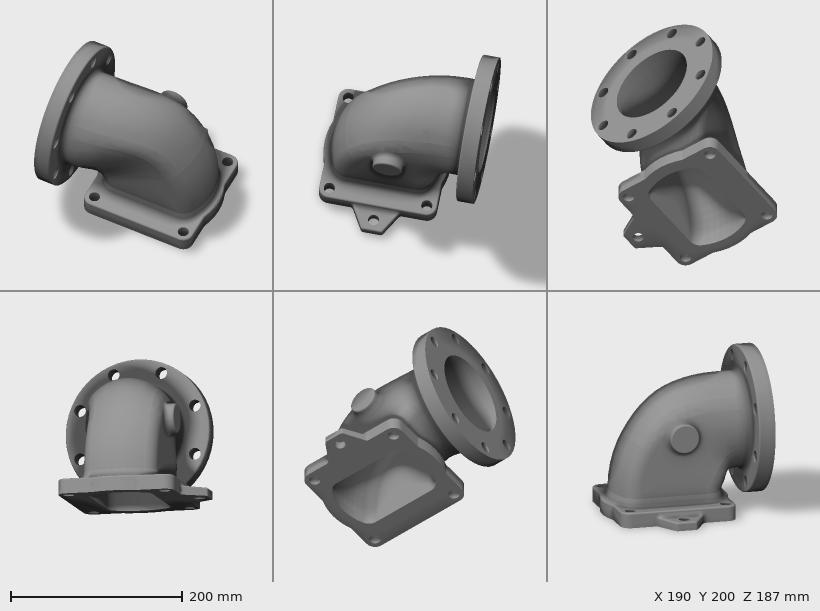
import cadquery as cq
import math

FLANGE_DIAMETER = 174.0
FLANGE_THICKNESS = 19.8
AXIS_HEIGHT = 100.0
BOLT_CIRCLE_DIAMETER = 150.0
FLANGE_HOLE_DIAMETER = 14.0
FLANGE_HOLE_COUNT = 8
HUB_END = 32.0
HUB_RADIUS = 57.0
BORE_RADIUS = 50.0
FILLET_RADIUS = 5.0
EDGE_RADIUS = 2.0

BASE_X = 115.0
BASE_Y = 15.0
BASE_SIDE = 140.0
BASE_THICKNESS = 18.0
BASE_CORNER_RADIUS = 12.0
BULGE_RADIUS = 75.0
BULGE_BLEND_RADIUS = 4.0
BASE_HOLE_PITCH = BASE_SIDE - 2 * BASE_CORNER_RADIUS
BASE_HOLE_DIAMETER = 13.0

EAR_LENGTH = 28.0
EAR_TIP_WIDTH = 24.5
EAR_SIDE_ANGLE = 60.0
EAR_CORNER_RADIUS = 3.0
EAR_TIP_THICKNESS = 10.0
EAR_TOP_SLOPE = 2.0
EAR_HOLE_INSET = 13.0

OUTLET_Y = 16.0
OUTLET_HEIGHT = 28.0
OUTER_OUTLET = dict(half_length=66.2, half_width=44.0, end_radius=73.0, corner_radius=18.0)
INNER_OUTLET = dict(half_length=60.2, half_width=38.0, end_radius=67.0, corner_radius=14.0)
SKIRT_TAPER = 15.0
SKIRT_FILLET_RADIUS = 4.5

PIVOT_X = 48.0
TURN_ANGLE = 30.0
CORNER_START_ANGLE = 25.6
CORNER_END_ANGLE = 41.2
FLOW_STRENGTH = 1.27
FLOW_STEPS = 6
STRAIGHT_TOLERANCE = 4e-06

BOSS_X = 105.0
BOSS_Z = 98.5
BOSS_DIAMETER = 35.0
BOSS_FACE_Y = 70.5

SELECT_REACH = 400.0
SELECT_MARGIN = 0.05


def slab(axis, position):
    """Select edges that lie wholly at one position along an axis."""
    low = dict.fromkeys("XYZ", -SELECT_REACH)
    high = dict.fromkeys("XYZ", SELECT_REACH)
    low[axis] = position - SELECT_MARGIN
    high[axis] = position + SELECT_MARGIN
    return cq.selectors.BoxSelector(tuple(low.values()), tuple(high.values()), boundingbox=True)


def arc_point(center_u, radius, angle):
    """Point (u, v) on a circle centred at (center_u, 0)."""
    return (center_u + radius * math.cos(angle), radius * math.sin(angle))


def mirrored_loop(quarter):
    """Complete a loop from five points that run from the +U tip to the +V tip."""
    second = [(-u, v) for u, v in reversed(quarter[:-1])]
    upper = quarter + second
    lower = [(u, -v) for u, v in reversed(upper[1:-1])]
    return upper + lower


def outlet_points(half_length, half_width, end_radius, corner_radius):
    """Alternate arc middles and arc ends around the outlet section."""
    end_u = half_length - end_radius
    corner_v = half_width - corner_radius
    reach = end_radius - corner_radius
    corner_u = end_u + math.sqrt(reach**2 - corner_v**2)
    end_angle = math.asin(corner_v / reach)
    middle_angle = (end_angle + math.pi / 2) / 2
    corner_middle = (
        corner_u + corner_radius * math.cos(middle_angle),
        corner_v + corner_radius * math.sin(middle_angle),
    )
    return mirrored_loop([
        (half_length, 0),
        arc_point(end_u, end_radius, end_angle),
        corner_middle,
        (corner_u, half_width),
        (0, half_width),
    ])


def inlet_points(radius):
    """Points around the round inlet that match those of the outlet section."""
    end_angle = 90 - CORNER_END_ANGLE
    side_angle = 90 - CORNER_START_ANGLE
    angles = [0, end_angle, (end_angle + side_angle) / 2, side_angle, 90]
    return mirrored_loop([arc_point(0, radius, math.radians(angle)) for angle in angles])


def place_outlet(point, angle):
    """Put an outlet point in space, turned up about the pivot by an angle."""
    u, v = point
    radius = BASE_X + u - PIVOT_X
    return cq.Vector(
        PIVOT_X + radius * math.cos(angle),
        OUTLET_Y + v,
        OUTLET_HEIGHT + radius * math.sin(angle),
    )


def arc_or_line(start, middle, end):
    """Edge through three points, straight where they lie on one line."""
    bend = (middle - start).cross(end - middle).Length
    if bend < STRAIGHT_TOLERANCE:
        return cq.Edge.makeLine(start, end)
    return cq.Edge.makeThreePointArc(start, middle, end)


def section_wire(points):
    """Close a ring of edges through alternating middles and ends."""
    middles = points[0::2]
    ends = points[1::2]
    starts = ends[-1:] + ends[:-1]
    return cq.Wire.assembleEdges([arc_or_line(*edge) for edge in zip(starts, middles, ends)])


def flow_point(start, end, fraction):
    """Follow a cubic curve that leaves along X and meets the turned section squarely."""
    angle = math.radians(TURN_ANGLE)
    strength = FLOW_STRENGTH * (end - start).Length
    start_tangent = cq.Vector(1, 0, 0) * strength
    end_tangent = cq.Vector(math.sin(angle), 0, -math.cos(angle)) * strength
    t = fraction
    return (
        start * (2 * t**3 - 3 * t**2 + 1)
        + start_tangent * (t**3 - 2 * t**2 + t)
        + end * (3 * t**2 - 2 * t**3)
        + end_tangent * (t**3 - t**2)
    )


def elbow(radius, outlet):
    """Bent body from the hub end down to the level of the outlet section."""
    outlet_ring = outlet_points(**outlet)
    starts = [cq.Vector(HUB_END, v, AXIS_HEIGHT + u) for u, v in inlet_points(radius)]
    ends = [place_outlet(point, math.radians(TURN_ANGLE)) for point in outlet_ring]
    wires = []
    for step in range(FLOW_STEPS + 1):
        ring = [flow_point(start, end, step / FLOW_STEPS) for start, end in zip(starts, ends)]
        wires.append(section_wire(ring))
    upper = cq.Solid.makeLoft(wires)

    outlet_wire = section_wire([place_outlet(point, 0) for point in outlet_ring])
    lower = cq.Solid.revolve(
        outlet_wire, [], TURN_ANGLE,
        cq.Vector(PIVOT_X, 2, OUTLET_HEIGHT), cq.Vector(PIVOT_X, 0, OUTLET_HEIGHT),
    )
    return cq.Workplane(upper).union(cq.Workplane(lower))


def outlet_prism(outlet, depth, taper=0):
    """Straight or flaring run below the outlet section."""
    wire = section_wire([place_outlet(point, 0) for point in outlet_points(**outlet)])
    prism = cq.Solid.extrudeLinear(wire, [], cq.Vector(0, 0, -depth), taper)
    return cq.Workplane(prism)


def inlet_cylinder(radius, length):
    return cq.Workplane("YZ", origin=(0, 0, AXIS_HEIGHT)).circle(radius).extrude(length)


def inlet_flange():
    flange = inlet_cylinder(FLANGE_DIAMETER / 2, FLANGE_THICKNESS).faces(">X").edges().fillet(EDGE_RADIUS)
    flange = flange.union(inlet_cylinder(HUB_RADIUS, HUB_END))
    hub_root = flange.edges(slab("X", FLANGE_THICKNESS)).edges(cq.selectors.RadiusNthSelector(0))
    return hub_root.fillet(FILLET_RADIUS)


def flange_holes():
    return (
        cq.Workplane("YZ", origin=(0, 0, AXIS_HEIGHT))
        .polarArray(BOLT_CIRCLE_DIAMETER / 2, 180 / FLANGE_HOLE_COUNT, 360, FLANGE_HOLE_COUNT)
        .circle(FLANGE_HOLE_DIAMETER / 2)
        .extrude(FLANGE_THICKNESS)
    )


def base_plane():
    return cq.Workplane("XY", origin=(BASE_X, BASE_Y, 0))


def base_plate():
    plate = base_plane().rect(BASE_SIDE, BASE_SIDE).extrude(BASE_THICKNESS)
    plate = plate.edges("|Z").fillet(BASE_CORNER_RADIUS)
    bulge_limit = base_plane().rect(2 * BULGE_RADIUS, BASE_HOLE_PITCH).extrude(BASE_THICKNESS)
    bulge = base_plane().circle(BULGE_RADIUS).extrude(BASE_THICKNESS).intersect(bulge_limit)
    plate = plate.union(bulge)
    bulge_half_width = math.sqrt(BULGE_RADIUS**2 - (BASE_SIDE / 2) ** 2)
    for y in (BASE_Y - bulge_half_width, BASE_Y + bulge_half_width):
        plate = plate.edges("|Z").edges(slab("Y", y)).fillet(BULGE_BLEND_RADIUS)
    return plate


def ear():
    base_edge = BASE_SIDE / 2
    tip = base_edge + EAR_LENGTH
    half_tip = EAR_TIP_WIDTH / 2
    half_root = half_tip + tip / math.tan(math.radians(EAR_SIDE_ANGLE))
    root_thickness = EAR_TIP_THICKNESS + tip * math.tan(math.radians(EAR_TOP_SLOPE))
    plan = (
        base_plane()
        .polyline([(-half_root, 0), (half_root, 0), (half_tip, tip), (-half_tip, tip)])
        .close()
        .extrude(BASE_THICKNESS)
        .edges("|Z and >Y")
        .fillet(EAR_CORNER_RADIUS)
    )
    profile = (
        cq.Workplane("YZ", origin=(BASE_X, BASE_Y, 0))
        .polyline([(0, 0), (tip, 0), (tip, EAR_TIP_THICKNESS), (0, root_thickness)])
        .close()
        .extrude(half_root, both=True)
    )
    return plan.intersect(profile).faces(">Z").edges("not <Y").fillet(EDGE_RADIUS)


def mounting_holes():
    base = base_plane().rect(BASE_HOLE_PITCH, BASE_HOLE_PITCH, forConstruction=True).vertices()
    holes = base.circle(BASE_HOLE_DIAMETER / 2).extrude(BASE_THICKNESS)
    ear_hole_y = BASE_SIDE / 2 + EAR_LENGTH - EAR_HOLE_INSET
    ear_hole = base_plane().center(0, ear_hole_y).circle(BASE_HOLE_DIAMETER / 2).extrude(BASE_THICKNESS)
    return holes.union(ear_hole)


def base_with_ear():
    """Base plate and ear with a fillet where they meet and a rounded top edge."""
    base = base_plate().union(ear())
    ear_zone = base_plane().rect(BASE_HOLE_PITCH, 2 * BASE_SIDE).extrude(BASE_THICKNESS)
    inside_ear_zone = zone_selector(ear_zone)
    ear_root = base.edges(slab("Y", BASE_Y + BASE_SIDE / 2)).edges(inside_ear_zone)
    base = ear_root.edges("not >Z").edges("not <Z").fillet(FILLET_RADIUS)
    return base.faces(">Z").edges().fillet(EDGE_RADIUS)


def zone_selector(zone):
    """Select edges whose centres lie in the bounding box of a body."""
    box = zone.val().BoundingBox()
    return cq.selectors.BoxSelector((box.xmin, box.ymin, box.zmin), (box.xmax, box.ymax, box.zmax))


def add_skirt(base):
    """Flare the outlet onto the base plate and fillet the seam."""
    depth = OUTLET_HEIGHT - BASE_THICKNESS
    skirt = outlet_prism(OUTER_OUTLET, depth, -SKIRT_TAPER)
    foot = zone_selector(skirt)
    body = base.union(skirt)
    return body.edges(slab("Z", BASE_THICKNESS)).edges(foot).fillet(SKIRT_FILLET_RADIUS)


def add_boss(body):
    """Add the closed boss and fillet the seam around its root."""
    length = BOSS_FACE_Y - OUTLET_Y
    plane = cq.Workplane("XZ", origin=(BOSS_X, BOSS_FACE_Y, BOSS_Z))
    boss = plane.circle(BOSS_DIAMETER / 2).extrude(length).faces(">Y").edges().fillet(EDGE_RADIUS)
    root_zone = boss.translate((0, -2 * EDGE_RADIUS, 0))
    return body.union(boss).edges(zone_selector(root_zone)).fillet(FILLET_RADIUS)


outer_body = (
    inlet_flange()
    .union(elbow(HUB_RADIUS, OUTER_OUTLET))
    .union(add_skirt(base_with_ear()))
)
outer_body = add_boss(outer_body)
cavity = (
    inlet_cylinder(BORE_RADIUS, HUB_END)
    .union(elbow(BORE_RADIUS, INNER_OUTLET))
    .union(outlet_prism(INNER_OUTLET, OUTLET_HEIGHT))
)
result = outer_body.cut(cavity).cut(flange_holes()).cut(mounting_holes())